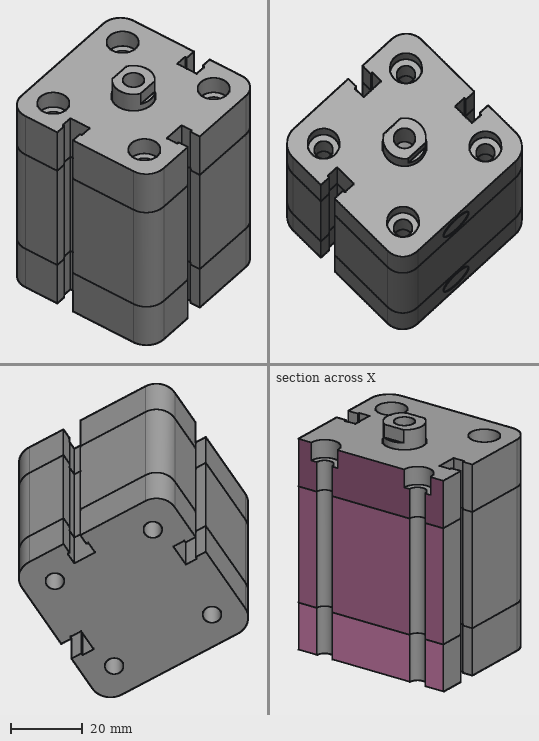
import cadquery as cq
import math

side = 50.0
corner_radius = 6.0
cap_height = 14.5
barrel_height = 35.5
barrel_top = cap_height + barrel_height
body_height = barrel_top + cap_height

slot_offset = 5.0
slot_mouth_width = 5.5
slot_mouth_depth = 3.3
slot_width = 6.8
slot_depth = 6.9

mount_pitch = 32.0
mount_diameter = 5.2
counterbore_diameter = 9.0
counterbore_depth = 5.5

port_diameter = 9.73
port_depth = 0.2
port_y = 4.0
port_end_distance = 8.0

rod_diameter = 12.0
rod_bore_diameter = 12.5
rod_projection = 6.0
rod_top = body_height + rod_projection
flats_across = 10.0
flats_height = 4.0
rod_hole_diameter = 6.0
rod_hole_depth = 12.0
drill_point_angle = 118.0


def slot_cutter(angle, height):
    """T-slot opening through the -Y side, offset towards -X, then turned about Z."""
    outer_y = -side / 2
    mouth = cq.Workplane("XY").box(slot_mouth_width, slot_mouth_depth, height, centered=(True, False, False))
    pocket_depth = slot_depth - slot_mouth_depth
    pocket = (
        cq.Workplane("XY")
        .box(slot_width, pocket_depth, height, centered=(True, False, False))
        .translate((0, slot_mouth_depth, 0))
    )
    slot = mouth.union(pocket).translate((-slot_offset, outer_y, 0))
    return slot.rotate((0, 0, 0), (0, 0, 1), angle)


def profile_block(bottom, height):
    """Length of the body section with rounded corners, three T-slots and four mounting holes."""
    block = (
        cq.Workplane("XY")
        .box(side, side, height, centered=(True, True, False))
        .edges("|Z")
        .fillet(corner_radius)
    )
    for angle in (0, 90, 180):
        block = block.cut(slot_cutter(angle, height))
    block = (
        block.faces(">Z")
        .workplane(origin=(0, 0, height))
        .rect(mount_pitch, mount_pitch, forConstruction=True)
        .vertices()
        .hole(mount_diameter)
    )
    return block.translate((0, 0, bottom))


def port_cutter(z):
    """Shallow round port recess in the -X face, centred at height z."""
    return (
        cq.Workplane("YZ", origin=(-side / 2, port_y, z))
        .circle(port_diameter / 2)
        .extrude(port_depth)
    )


def make_bottom_cap():
    return profile_block(0, cap_height).cut(port_cutter(port_end_distance))


def make_barrel():
    return profile_block(cap_height, barrel_height)


def make_top_cap():
    """Top cap with a port, counterbored mounting holes and a clearance bore for the rod."""
    counterbores = (
        cq.Workplane("XY", origin=(0, 0, body_height))
        .rect(mount_pitch, mount_pitch, forConstruction=True)
        .vertices()
        .circle(counterbore_diameter / 2)
        .extrude(-counterbore_depth)
    )
    rod_bore = cq.Workplane("XY", origin=(0, 0, barrel_top)).circle(rod_bore_diameter / 2).extrude(cap_height)
    return (
        profile_block(barrel_top, cap_height)
        .cut(port_cutter(body_height - port_end_distance))
        .cut(counterbores)
        .cut(rod_bore)
    )


def make_rod():
    """Rod standing on the barrel, with two wrench flats and a drilled hole at its free end."""
    rod = cq.Workplane("XY", origin=(0, 0, barrel_top)).circle(rod_diameter / 2).extrude(rod_top - barrel_top)

    flat_cut_width = (rod_diameter - flats_across) / 2
    flat_cut = (
        cq.Workplane("XY")
        .box(flat_cut_width, rod_diameter, flats_height, centered=(False, True, False))
        .translate((flats_across / 2, 0, rod_top - flats_height))
    )
    rod = rod.cut(flat_cut).cut(flat_cut.mirror("YZ"))

    hole_radius = rod_hole_diameter / 2
    hole_end = rod_top - rod_hole_depth
    drill_tip = hole_end - hole_radius / math.tan(math.radians(drill_point_angle / 2))
    drill = (
        cq.Workplane("XZ")
        .moveTo(0, drill_tip)
        .lineTo(hole_radius, hole_end)
        .lineTo(hole_radius, rod_top)
        .lineTo(0, rod_top)
        .close()
        .revolve(360, (0, 0, 0), (0, 1, 0))
    )
    return rod.cut(drill)


bottom_cap = make_bottom_cap()
barrel = make_barrel()
top_cap = make_top_cap()
rod = make_rod()

result = cq.Compound.makeCompound(
    [
        bottom_cap.solids().val(),
        barrel.solids().val(),
        top_cap.solids().val(),
        rod.solids().val(),
    ]
)